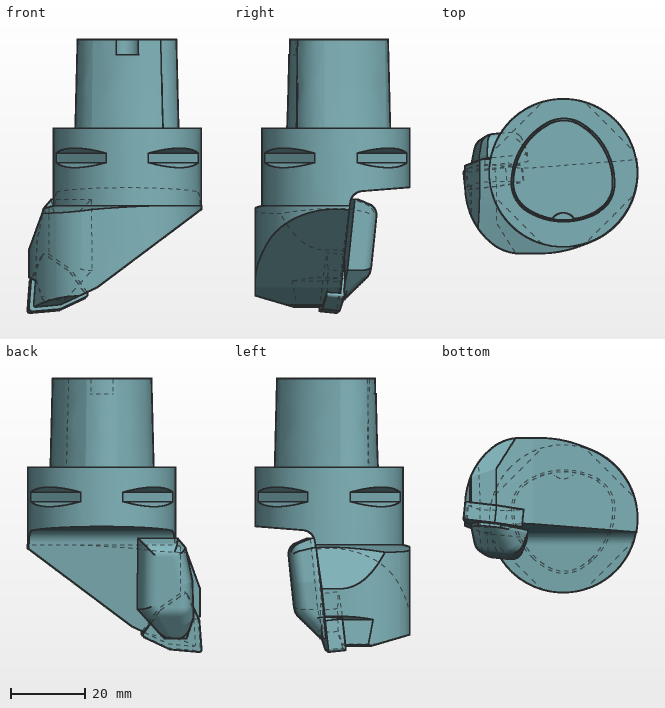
import cadquery as cq
import math

shank_length = 24.0
shank_width = 28.0
shank_taper = 1.43
lobe_offset = 6.15
lobe_radius = 8.6
notch_radius = 3.55
notch_center_y = -14.35
notch_depth = 4.2

flange_diameter = 40.0
flange_radius = flange_diameter / 2
flange_height = 21.0
groove_z = -8.1
groove_floor_width = 2.5
groove_floor_distance = 17.6
groove_wall_angle = 30

head_left_x = -26.6
head_front_y = -21.8
head_right_radius = 20.1
head_right_x = 7.5
head_back_y = 8.9
head_bottom_z = -51.8
shoulder_angle = 15
side_slope_angle = 20
side_slope_end_z = -32.85
belly_slope = 0.75
belly_right_z = -21.9

rake_tilt = math.tan(math.radians(6))
tool_tip = (-27.1, 0.1, -50.1)
tool_frame = cq.Location(
    cq.Plane(origin=tool_tip, xDir=(1, rake_tilt, 0), normal=(rake_tilt, -1, rake_tilt))
)

chip_wall_y = 4.15
chip_roof_z = -17.3
chip_roof_slope = 0.08
chip_root_radius = 3.55
rake_height = 30.6

insert_edge = 8.65
insert_thickness = 4.7
insert_corner_radius = 0.8
insert_first_angle = 5
insert_bend = 20
corner_turn = 100

relief_top_z = -40.3
relief_side_top = (-24.8, -41.2)
relief_corner_side = (-25.3, -47.95)
relief_corner_bottom = (-24.9, -48.4)
relief_bend = (-18.05, -47.7)
clearance_start = (-11.25, -48.4)
clearance_end = (head_front_y, -45.3)

clamp_plate = 0.9
clamp_height = 6.8
clamp_draft = 16
clamp_edge_radius = 3.7
clamp_right_x = 17.75
clamp_bottom_y = 3.85
clamp_ramp_top_y = 11.5
clamp_plan = [
    (7.0, 31.1), (4.8, 28.5), (2.9, 19.6), (2.45, 9.6), (4.3, clamp_bottom_y),
    (10.35, clamp_bottom_y), (clamp_right_x, 11.85), (clamp_right_x, 31.1),
]

overcut = 44.4


def polar(length, degrees):
    angle = math.radians(degrees)
    return cq.Vector(length * math.cos(angle), length * math.sin(angle))


def in_tool_frame(shape):
    return cq.Workplane(shape.val().moved(tool_frame))


def make_shank():
    flank_radius = shank_width - lobe_radius
    lobes = [-30, 90, 210]
    first_center = polar(lobe_offset, lobes[0])
    outline = cq.Workplane("XY").moveTo(*(first_center + polar(lobe_radius, lobes[0] - 30)).toTuple()[:2])
    for lobe in lobes:
        center = polar(lobe_offset, lobe)
        opposite = polar(lobe_offset, lobe + 240)
        lobe_points = [center + polar(lobe_radius, lobe + turn) for turn in (0, 30)]
        flank_points = [opposite + polar(flank_radius, lobe + turn) for turn in (60, 90)]
        outline = outline.threePointArc(*[(p.x, p.y) for p in lobe_points])
        outline = outline.threePointArc(*[(p.x, p.y) for p in flank_points])
    shank = outline.close().extrude(shank_length, taper=shank_taper)
    notch = (
        cq.Workplane("XY", origin=(0, notch_center_y, shank_length - notch_depth))
        .circle(notch_radius)
        .extrude(notch_depth)
    )
    return shank.cut(notch)


def make_flange():
    flange = cq.Workplane("XY").circle(flange_radius).extrude(-flange_height)
    depth = flange_radius - groove_floor_distance
    half_floor = groove_floor_width / 2
    half_mouth = half_floor + depth * math.tan(math.radians(groove_wall_angle))
    cutter = (
        cq.Workplane("XZ", origin=(0, 0, groove_z))
        .moveTo(groove_floor_distance, -half_floor)
        .lineTo(flange_radius, -half_mouth)
        .lineTo(flange_radius, half_mouth)
        .lineTo(groove_floor_distance, half_floor)
        .close()
        .extrude(flange_radius, both=True)
    )
    for angle in (45, 135, 225, 315):
        flange = flange.cut(cutter.rotate((0, 0, 0), (0, 0, 1), angle))
    return flange


def make_head():
    right_y = -math.sqrt(head_right_radius**2 - head_right_x**2)
    back_x = math.sqrt(head_right_radius**2 - head_back_y**2)
    head = (
        cq.Workplane("XY", origin=(0, 0, head_bottom_z))
        .moveTo(head_left_x, head_back_y)
        .lineTo(head_left_x, -3.25)
        .tangentArcPoint((-25.45, -10.15), relative=False)
        .tangentArcPoint((-19.2, -19.2), relative=False)
        .tangentArcPoint((-12.3, head_front_y), relative=False)
        .lineTo(-6.45, head_front_y)
        .tangentArcPoint((4.5, -19.8), relative=False)
        .lineTo(head_right_x, right_y)
        .threePointArc((head_right_radius, 0), (back_x, head_back_y))
        .close()
        .extrude(-head_bottom_z - flange_height)
    )
    shoulder_fall = overcut * math.tan(math.radians(shoulder_angle))
    shoulder = (
        cq.Workplane("XZ")
        .moveTo(0, -flange_height)
        .lineTo(flange_radius, -flange_height)
        .lineTo(flange_radius + overcut, -flange_height - shoulder_fall)
        .lineTo(flange_radius + overcut, head_bottom_z - overcut)
        .lineTo(0, head_bottom_z - overcut)
        .close()
        .revolve(360, (0, 0, 0), (0, 1, 0))
    )
    side_run = -side_slope_end_z * math.tan(math.radians(side_slope_angle))
    side_slope = (
        cq.Workplane("XZ")
        .moveTo(head_left_x, side_slope_end_z)
        .lineTo(head_left_x + side_run, 0)
        .lineTo(head_left_x, 0)
        .close()
        .extrude(overcut, both=True)
    )
    belly_left_z = belly_right_z - belly_slope * (head_right_radius + overcut)
    belly = (
        cq.Workplane("XZ")
        .moveTo(head_right_radius, belly_right_z)
        .lineTo(-overcut, belly_left_z)
        .lineTo(head_right_radius, belly_left_z)
        .close()
        .extrude(overcut, both=True)
    )
    return head.intersect(shoulder).cut(side_slope).cut(belly)


def make_chip_space():
    wall_lean = rake_tilt * overcut
    roof_run = overcut - chip_wall_y
    space = (
        cq.Workplane("YZ", origin=(-overcut, 0, 0))
        .moveTo(chip_wall_y, chip_roof_z)
        .lineTo(overcut, chip_roof_z + chip_roof_slope * roof_run)
        .lineTo(overcut, chip_roof_z - overcut)
        .lineTo(chip_wall_y - wall_lean, chip_roof_z - overcut)
        .close()
        .extrude(2 * overcut)
        .edges(cq.NearestToPointSelector((0, chip_wall_y, chip_roof_z)))
        .fillet(chip_root_radius)
    )
    rake_face = (
        cq.Workplane("XY")
        .moveTo(-overcut, -overcut)
        .lineTo(overcut, -overcut)
        .lineTo(overcut, rake_height)
        .lineTo(-overcut, rake_height)
        .close()
        .extrude(-overcut)
    )
    return space.union(in_tool_frame(rake_face))


def make_relief():
    bend_x, bend_z = relief_bend
    end = polar(overcut, insert_first_angle + insert_bend)
    relief = (
        cq.Workplane("XZ")
        .polyline([
            (-overcut, relief_top_z),
            (head_left_x, relief_top_z),
            relief_side_top,
            relief_corner_side,
            relief_corner_bottom,
            relief_bend,
            (bend_x + end.x, bend_z + end.y),
            (bend_x + end.x, -2 * overcut),
            (-overcut, -2 * overcut),
        ])
        .close()
        .extrude(overcut, both=True)
    )
    front_clearance = (
        cq.Workplane("YZ")
        .polyline([clearance_start, clearance_end, (clearance_end[0], clearance_start[1])])
        .close()
        .extrude(overcut, both=True)
    )
    return relief.union(front_clearance)


def make_clamp():
    plate = cq.Workplane("XY").polyline(clamp_plan).close().extrude(-clamp_plate)
    block = (
        cq.Workplane("XY", origin=(0, 0, -clamp_plate))
        .polyline(clamp_plan)
        .close()
        .extrude(clamp_plate - clamp_height, taper=clamp_draft)
    )
    ramp = (
        cq.Workplane("YZ")
        .polyline([
            (clamp_bottom_y, -clamp_plate),
            (clamp_ramp_top_y, -clamp_height),
            (clamp_bottom_y, -clamp_height),
        ])
        .close()
        .extrude(overcut)
    )
    block = block.cut(ramp)
    ramp_middle = (
        clamp_right_x / 2,
        (clamp_bottom_y + clamp_ramp_top_y) / 2,
        -(clamp_plate + clamp_height) / 2,
    )
    side_edges_of_ramp = block.faces(cq.NearestToPointSelector(ramp_middle)).edges("not |X")
    rounded_edges = block.faces("<Z").edges().vals() + side_edges_of_ramp.vals()
    block = block.newObject(rounded_edges).fillet(clamp_edge_radius)
    return in_tool_frame(plate.union(block))


def make_insert():
    corner = cq.Vector(0, 0)
    outline = [corner]
    direction = insert_first_angle
    for _ in range(3):
        bend = outline[-1] + polar(insert_edge, direction)
        corner = bend + polar(insert_edge, direction + insert_bend)
        outline += [bend, corner]
        direction += insert_bend + corner_turn
    corners = outline[0:-1:2]
    insert = cq.Workplane("XY").polyline([(p.x, p.y) for p in outline[:-1]]).close().extrude(insert_thickness)
    for corner in corners:
        insert = insert.edges(
            cq.NearestToPointSelector((corner.x, corner.y, insert_thickness / 2))
        ).fillet(insert_corner_radius)
    return in_tool_frame(insert)


insert = make_insert()
holder = (
    make_flange()
    .union(make_head().cut(make_relief()))
    .cut(make_chip_space())
    .union(make_shank())
    .union(make_clamp())
    .cut(insert)
)
result = cq.Compound.makeCompound([holder.val(), insert.val()])